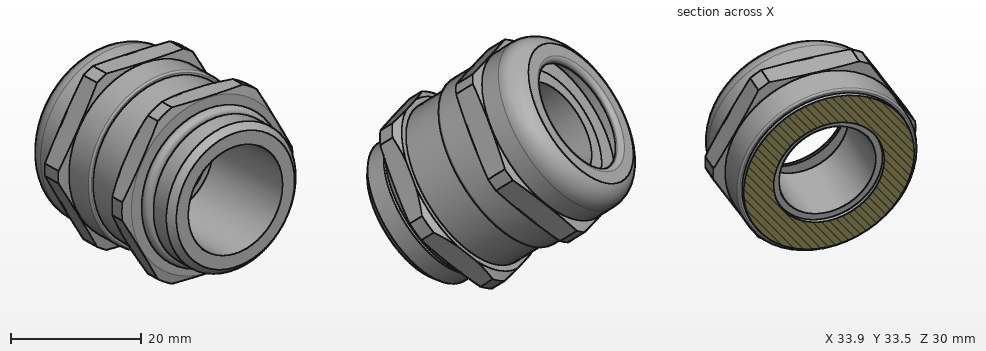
import cadquery as cq
import math

overall_length = 33.85
across_flats = 30.0

nut_dia = 29.8
nut_end = 16.28
nut_end_round = 0.35
dome_face_dia = 24.37
dome_length = 3.83
opening_dia = 18.5
opening_round = 0.8
lip_thickness = 1.1
cavity_dia = 26.78
nut_hex_start = 7.15
nut_hex_end = 11.1
nut_hex_corner_dia = 33.48

insert_front = 4.85
seal_bore = 16.0
seal_dia = 20.6

neck_start = nut_hex_end
body_dia = 28.3
body_bore = 18.2
body_hex_start = 23.4
body_hex_end = 26.95
body_hex_corner_dia = 32.97
body_hex_front_dia = 30.33
body_hex_front_angle = 30.0
thread_dia = 25.0
groove_dia = 22.8
thread_start = 29.45
end_chamfer = (thread_dia - groove_dia) / 2

hex_chamfer = 0.255
hex_shoulder_dia = nut_dia

o_ring_outer_dia = 26.78
o_ring_section_dia = (o_ring_outer_dia - groove_dia) / 2


def disc(dia, start, end):
    """Solid cylinder on the X axis between two X positions."""
    return cq.Workplane("YZ").workplane(offset=start).circle(dia / 2).extrude(end - start)


def tube(outer_dia, inner_dia, start, end):
    """Hollow cylinder on the X axis."""
    return disc(outer_dia, start, end).cut(disc(inner_dia, start, end))


def revolve_about_x(profile):
    """Turn a closed outline, drawn as (X, radius), around the X axis."""
    return profile.close().revolve(360, (0, 0, 0), (1, 0, 0))


def hex_collar(start, end, corner_dia, front_dia, front_depth, rear_dia, rear_depth):
    """Hexagon with flats facing +Z and -Z, turned to rounded corners and chamfered at both ends."""
    point_to_point = across_flats / math.cos(math.radians(30))
    prism = cq.Workplane("YZ").workplane(offset=start).polygon(6, point_to_point).extrude(end - start)
    envelope = revolve_about_x(
        cq.Workplane("XY")
        .moveTo(start, 0)
        .lineTo(start, front_dia / 2)
        .lineTo(start + front_depth, corner_dia / 2)
        .lineTo(end - rear_depth, corner_dia / 2)
        .lineTo(end, rear_dia / 2)
        .lineTo(end, 0)
    )
    return prism.intersect(envelope)


def make_cap_nut():
    """Domed nut with a rounded cable opening and a stepped inside."""
    dome_drop = (nut_dia - dome_face_dia) / 2
    dome_radius = (dome_length**2 + dome_drop**2) / (2 * dome_drop)
    half_angle = math.asin(dome_length / dome_radius) / 2
    dome_middle = (
        dome_length - dome_radius * math.sin(half_angle),
        nut_dia / 2 - dome_radius * (1 - math.cos(half_angle)),
    )
    shell = revolve_about_x(
        cq.Workplane("XY")
        .moveTo(0, 0)
        .lineTo(0, dome_face_dia / 2)
        .threePointArc(dome_middle, (dome_length, nut_dia / 2))
        .lineTo(nut_end, nut_dia / 2)
        .lineTo(nut_end, 0)
    )
    shell = shell.faces(">X").edges().fillet(nut_end_round)
    smallest_circle = cq.selectors.RadiusNthSelector(0)
    shell = shell.cut(disc(opening_dia, 0, nut_end))
    shell = shell.faces("<X").edges(smallest_circle).fillet(opening_round)
    collar = hex_collar(
        nut_hex_start,
        nut_hex_end,
        nut_hex_corner_dia,
        hex_shoulder_dia,
        hex_chamfer,
        hex_shoulder_dia,
        hex_chamfer,
    )
    return shell.union(collar).cut(disc(cavity_dia, lip_thickness, nut_end))


def make_seal():
    """Sleeve that grips the cable and rests on the shoulder in the body."""
    return tube(seal_dia, seal_bore, insert_front, nut_end)


def make_clamping_ring():
    """Ring around the seal, in front of the body neck."""
    return tube(cavity_dia, seal_dia, insert_front, neck_start)


def make_body():
    """Neck, barrel, hexagon, O-ring groove and mounting thread, with a stepped bore."""
    groove_radius = groove_dia / 2
    thread_radius = thread_dia / 2
    groove_end = thread_start - (thread_radius - groove_radius)
    turned = revolve_about_x(
        cq.Workplane("XY")
        .moveTo(neck_start, 0)
        .lineTo(neck_start, cavity_dia / 2)
        .lineTo(nut_end, cavity_dia / 2)
        .lineTo(nut_end, body_dia / 2)
        .lineTo(body_hex_end, body_dia / 2)
        .lineTo(body_hex_end, groove_radius)
        .lineTo(groove_end, groove_radius)
        .lineTo(thread_start, thread_radius)
        .lineTo(overall_length - end_chamfer, thread_radius)
        .lineTo(overall_length, thread_radius - end_chamfer)
        .lineTo(overall_length, 0)
    )
    front_drop = (body_hex_corner_dia - body_hex_front_dia) / 2
    front_depth = front_drop * math.tan(math.radians(body_hex_front_angle))
    collar = hex_collar(
        body_hex_start,
        body_hex_end,
        body_hex_corner_dia,
        body_hex_front_dia,
        front_depth,
        hex_shoulder_dia,
        hex_chamfer,
    )
    return (
        turned.union(collar)
        .cut(disc(seal_dia, neck_start, nut_end))
        .cut(disc(body_bore, nut_end, overall_length))
    )


def make_o_ring():
    """Round-section ring that sits on the groove bottom against the hexagon."""
    section_radius = o_ring_section_dia / 2
    centre_x = body_hex_end + section_radius
    centre_radius = o_ring_outer_dia / 2 - section_radius
    return (
        cq.Workplane("XY")
        .center(centre_x, centre_radius)
        .circle(section_radius)
        .revolve(360, (0, -centre_radius, 0), (1, -centre_radius, 0))
    )


cap_nut = make_cap_nut()
seal = make_seal()
clamping_ring = make_clamping_ring()
body = make_body()
o_ring = make_o_ring()

result = cq.Compound.makeCompound(
    [cap_nut.val(), seal.val(), clamping_ring.val(), body.val(), o_ring.val()]
)